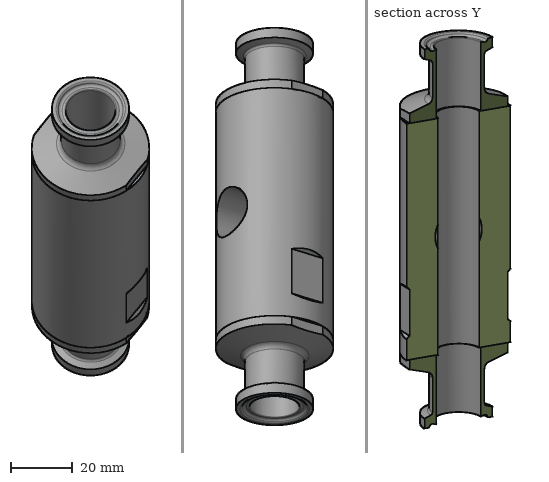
import cadquery as cq
import math

length = 130.0
outer_radius = 38.0 / 2
housing_bore_radius = 15.0 / 2
cap_bore_radius = 16.0 / 2
joint_height = 24.5

flange_radius = 25.0 / 2
flange_thickness = 3.5
neck_radius = 19.1 / 2
flange_slope = math.radians(20)
flange_fillet = 0.9
shoulder_depth = 21.5
shoulder_slope = math.radians(17)
shoulder_fillet = 2.1

groove_center_radius = 19.1 / 2
groove_radius = 2.0 / 2
groove_mouth_radius = 11.2
groove_wall_angle = math.radians(70)
groove_ramp_angle = math.radians(20)
lip_fillet = 0.3

flat_distance = 18.0
flat_half_width = math.sqrt(outer_radius**2 - flat_distance**2)
pocket_height = 15.9
pocket_center_z = 40.7

port_radius = 8.5
port_center_z = length / 2


def arc_point(center, radius, angle):
    """Point on an arc, with the angle measured from +Z toward +X."""
    return center[0] + radius * math.sin(angle), center[1] + radius * math.cos(angle)


def make_cap():
    """Revolved cap whose free end is at Z = 0 and whose joint is at joint_height."""
    neck_start = flange_thickness + (flange_radius - neck_radius) * math.tan(flange_slope)
    neck_end = shoulder_depth - (outer_radius - neck_radius) * math.tan(shoulder_slope)

    wall_foot_radius = groove_center_radius + groove_radius * math.sin(groove_wall_angle)
    mouth_rounding = (groove_mouth_radius - wall_foot_radius) / math.sin(groove_wall_angle)
    mouth_center = (groove_mouth_radius, mouth_rounding)
    wall_foot = arc_point(mouth_center, mouth_rounding, math.pi + groove_wall_angle)
    mouth_middle = arc_point(mouth_center, mouth_rounding, math.pi + groove_wall_angle / 2)
    floor_center = (groove_center_radius, wall_foot[1] - groove_radius * math.cos(groove_wall_angle))
    floor_middle = arc_point(floor_center, groove_radius, 0)
    ramp_start = arc_point(floor_center, groove_radius, -groove_ramp_angle)
    lip_height = ramp_start[1] - (ramp_start[0] - cap_bore_radius) * math.tan(groove_ramp_angle)

    cap = (
        cq.Workplane("XZ")
        .moveTo(cap_bore_radius, lip_height)
        .lineTo(*ramp_start)
        .threePointArc(floor_middle, wall_foot)
        .threePointArc(mouth_middle, (groove_mouth_radius, 0))
        .lineTo(flange_radius, 0)
        .lineTo(flange_radius, flange_thickness)
        .lineTo(neck_radius, neck_start)
        .lineTo(neck_radius, neck_end)
        .lineTo(outer_radius, shoulder_depth)
        .lineTo(outer_radius, joint_height)
        .lineTo(cap_bore_radius, joint_height)
        .close()
        .revolve(360, (0, 0, 0), (0, 1, 0))
    )
    cap = fillet_circle(cap, cap_bore_radius, lip_height, lip_fillet)
    cap = fillet_circle(cap, neck_radius, neck_start, flange_fillet)
    cap = fillet_circle(cap, neck_radius, neck_end, shoulder_fillet)

    for side in (-1, 1):
        flat = cq.Workplane().box(
            outer_radius, 2 * outer_radius, joint_height, centered=(True, True, False)
        )
        cap = cap.cut(flat.translate((side * (flat_distance + outer_radius / 2), 0, 0)))
    return cap


def fillet_circle(body, radius, z, fillet_radius):
    """Round the circular edge of the given radius at height z."""
    tolerance = 0.01
    reach = radius + tolerance
    box = cq.selectors.BoxSelector(
        (-reach, -reach, z - tolerance), (reach, reach, z + tolerance), boundingbox=True
    )
    return body.edges(box).fillet(fillet_radius)


def make_housing():
    """Plain tube between the caps, with two wrench pockets and the side port."""
    housing = (
        cq.Workplane()
        .workplane(offset=joint_height)
        .circle(outer_radius)
        .circle(housing_bore_radius)
        .extrude(length - 2 * joint_height)
    )

    pocket_depth = outer_radius - flat_distance
    floor_half = pocket_height / 2
    mouth_half = floor_half + pocket_depth
    pocket = (
        cq.Workplane("XZ")
        .moveTo(flat_distance, pocket_center_z - floor_half)
        .lineTo(outer_radius, pocket_center_z - mouth_half)
        .lineTo(outer_radius, pocket_center_z + mouth_half)
        .lineTo(flat_distance, pocket_center_z + floor_half)
        .close()
        .extrude(flat_half_width, both=True)
    )
    housing = housing.cut(pocket).cut(pocket.mirror("YZ"))

    port = (
        cq.Workplane("XZ")
        .center(0, port_center_z)
        .circle(port_radius)
        .extrude(-outer_radius)
    )
    return housing.cut(port)


housing = make_housing()
bottom_cap = make_cap()
top_cap = bottom_cap.mirror("XY").translate((0, 0, length))

result = cq.Compound.makeCompound([housing.val(), bottom_cap.val(), top_cap.val()])